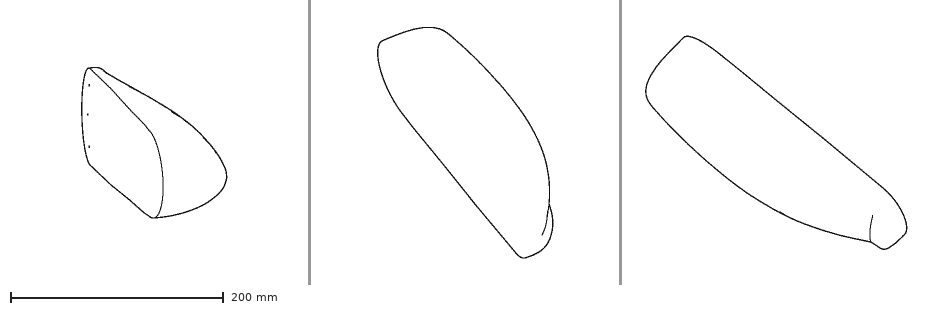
import cadquery as cq
import math

LENGTH = 285.0
HALF_WIDTH = 47.0
TAIL_HALF_WIDTH = 42.0
SHELL_HEIGHT = 75.0
NOSE_HEIGHT = 27.4
STEP_HEIGHT = 28.8
TAIL_HEIGHT = 68.5

NOSE_BASE_X, NOSE_APEX_X = 30.0, 12.5
STEP_APEX_X = 20.8
TAPER_START_X = 97.0
TAIL_BASE_X, TAIL_APEX_X = 235.5, 261.3

NOSE_FULLNESS = 2.8
STEP_FULLNESS = 2.5
SHELL_FULLNESS = 1.45
ELLIPSE_EXPONENT = 2.0
ARCH_STEPS = 16

HOLE_DIAMETER = 1.5
CENTER_HOLE_DIAMETER = 0.9
HOLE_DEPTH = 2.8
SIDE_HOLE_X = 26.0
SIDE_HOLE_Z = 30.0
CENTER_HOLE_X = 21.0


def half_width(x):
    """Half width of the base: constant, then tapering to the tail."""
    taper = max(0.0, (x - TAPER_START_X) / (TAIL_BASE_X - TAPER_START_X))
    return HALF_WIDTH + (TAIL_HALF_WIDTH - HALF_WIDTH) * taper


def arch(base_x, apex_x, height, fullness):
    """Arched edge in a leaning plane, from one side of the base to the other."""
    points = []
    for i in range(ARCH_STEPS + 1):
        angle = math.pi * i / ARCH_STEPS
        rise = math.sin(angle) ** (2 / fullness) if 0 < i < ARCH_STEPS else 0.0
        x = base_x + (apex_x - base_x) * rise
        points.append(cq.Vector(x, height * rise, -half_width(base_x) * math.cos(angle)))
    return cq.Edge.makeSpline(points)


def closed_section(edge):
    """Arch closed by a straight line along the base."""
    return cq.Wire.assembleEdges([edge, cq.Edge.makeLine(edge.endPoint(), edge.startPoint())])


def loft_arches(arches):
    return cq.Solid.makeLoft([closed_section(edge) for edge in arches])


def fan(ribs):
    """Solid between arches that all hinge on the same chord across the base."""
    skin = cq.occ_impl.shapes.loft(*[cq.Wire.assembleEdges([rib]) for rib in ribs])
    first_side = cq.Face.makeFromWires(closed_section(ribs[0]))
    last_side = cq.Face.makeFromWires(closed_section(ribs[-1]))
    return cq.Solid.makeSolid(cq.Shell.makeShell([*skin.Faces(), first_side, last_side]))


def end_cap(base_x, profile, fullness):
    """Rounded end: arches fan down the centre profile until the last lies flat as an ellipse."""
    ribs = []
    for i, (x, y) in enumerate(profile):
        blend = i / (len(profile) - 1)
        ribs.append(arch(base_x, x, y, fullness + (ELLIPSE_EXPONENT - fullness) * blend))
    return fan(ribs)


def base_hole(x, z, diameter):
    return cq.Solid.makeCylinder(diameter / 2, HOLE_DEPTH, cq.Vector(x, 0, z), cq.Vector(0, 1, 0))


nose_arch = arch(NOSE_BASE_X, NOSE_APEX_X, NOSE_HEIGHT, NOSE_FULLNESS)
step_arch = arch(NOSE_BASE_X, STEP_APEX_X, STEP_HEIGHT, STEP_FULLNESS)
tail_arch = arch(TAIL_BASE_X, TAIL_APEX_X, TAIL_HEIGHT, SHELL_FULLNESS)

shell_stations = [
    (65.5, 51.3, 49.3, 1.7),
    (TAPER_START_X, 85.5, 63.5, SHELL_FULLNESS),
    (136.8, 134.0, 73.2, SHELL_FULLNESS),
    (182.5, 191.0, SHELL_HEIGHT, SHELL_FULLNESS),
]
shell_arches = [arch(*station) for station in shell_stations]

nose_profile = [
    (NOSE_APEX_X, NOSE_HEIGHT),
    (6.3, 26.2),
    (2.5, 21.7),
    (0.5, 12.8),
    (0.0, 0.0),
]
tail_profile = [
    (TAIL_APEX_X, TAIL_HEIGHT),
    (271.5, 65.0),
    (278.5, 57.5),
    (282.7, 45.5),
    (284.7, 28.5),
    (LENGTH, 0.0),
]

pieces = [
    end_cap(NOSE_BASE_X, nose_profile, NOSE_FULLNESS),
    fan([nose_arch, step_arch]),
    loft_arches([step_arch, *shell_arches, tail_arch]),
    end_cap(TAIL_BASE_X, tail_profile, SHELL_FULLNESS),
]
body = cq.Workplane(pieces[0])
for piece in pieces[1:]:
    body = body.union(cq.Workplane(piece))

holes = [base_hole(SIDE_HOLE_X, side * SIDE_HOLE_Z, HOLE_DIAMETER) for side in (-1, 1)]
holes.append(base_hole(CENTER_HOLE_X, 0.0, CENTER_HOLE_DIAMETER))
for hole in holes:
    body = body.cut(cq.Workplane(hole))

result = body